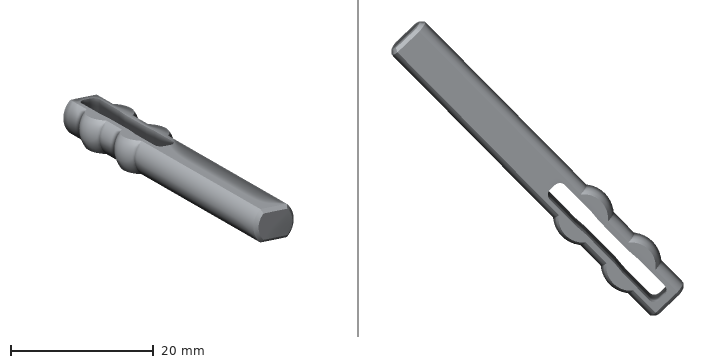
import cadquery as cq

length = 53.1
shaft_diameter = 6.6
thickness = 5.0
end_chamfer = 0.55

bulge_diameter = 8.55
first_bulge_x = 7.7
bulge_spacing = 9.6
bulge_centres = [first_bulge_x, first_bulge_x + bulge_spacing]

slot_start = 1.5
slot_half_width = 1.5
waist_half_width = 1.35
waist_ramp = 1.85
slot_corner_radius = 1.0
slot_middle_x = sum(bulge_centres) / 2
slot_end = 2 * slot_middle_x - slot_start


def flatten(body):
    """Keep only the part of the body between the two flats."""
    slab = cq.Workplane("XY").box(length, bulge_diameter, thickness, centered=(False, True, True))
    return body.intersect(slab)


def make_bar():
    """Flattened shaft with all edges of both end faces chamfered."""
    shaft = cq.Workplane("YZ").circle(shaft_diameter / 2).extrude(length)
    return flatten(shaft).faces("<X or >X").chamfer(end_chamfer)


def make_bulge(centre_x):
    """Flattened sphere that stands out from both sides of the bar."""
    return flatten(cq.Workplane("XY").sphere(bulge_diameter / 2).translate((centre_x, 0, 0)))


def make_slot_cutter():
    """Rounded rectangle through the full thickness, with ramps down to a narrower waist."""
    first_centre, second_centre = bulge_centres
    wall = [
        (slot_start, slot_half_width),
        (first_centre, slot_half_width),
        (first_centre + waist_ramp, waist_half_width),
        (second_centre - waist_ramp, waist_half_width),
        (second_centre, slot_half_width),
        (slot_end, slot_half_width),
    ]
    opposite_wall = [(x, -y) for x, y in reversed(wall)]
    cutter = cq.Workplane("XY").polyline(wall + opposite_wall).close().extrude(thickness / 2, both=True)
    end_corners = cutter.faces("<X or >X").edges("|Z")
    return end_corners.fillet(slot_corner_radius)


result = make_bar()
for bulge_x in bulge_centres:
    result = result.union(make_bulge(bulge_x))
result = result.cut(make_slot_cutter())